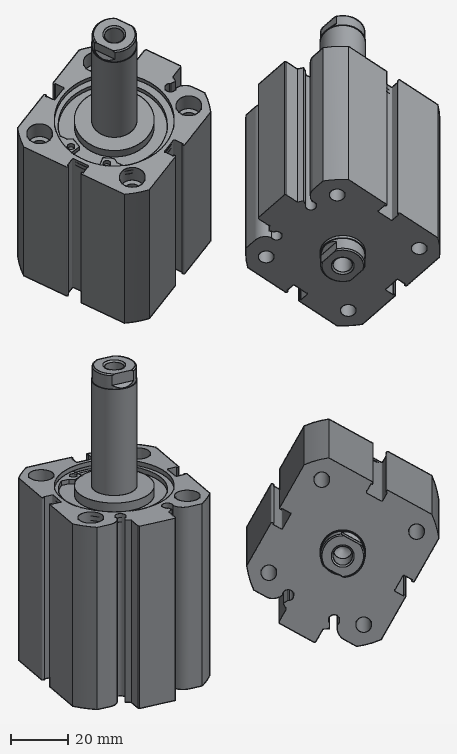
import cadquery as cq
import math


body_width = 54.0
body_height = 71.0
corner_turning_diameter = 68.0
rail_half_width = 7.4
rail_top = 33.0
rail_edge_chamfer = 0.4

shoulder_start_x = -15.4
shoulder_middle = (-12.2, 25.6)
shoulder_end = (-11.0, 23.5)
groove_bottom = (-9.5, 20.8)
groove_end = (-7.9, 24.1)
lip_root = (-8.4, 24.4)
lip_tip = (-9.2, 26.1)
lip_top_y = 27.4

mount_hole_spacing = 38.0
mount_hole_diameter = 5.5
counterbore_diameter = 9.0
counterbore_depth = 7.0

slot_width = 6.5
slot_mouth_width = 5.5
slot_depth = 4.5
slot_lip = 0.9
slot_edge_radius = 0.4

bore_diameter = 42.0
boss_diameter = 28.0
cover_flange_thickness = 12.5
ring_depth = 1.8
ring_thickness = 1.8
ring_outer_diameter = 44.5
ring_inner_radius = 19.1
ring_inner_offset = -1.0
ear_gap_corner = (4.8, -15.5)
ear_outline = [ear_gap_corner, (8.4, -13.8), (10.2, -14.9), (13.2, -14.9), (13.2, -16.9), (5.8, -19.4)]
gap_outer_corner = (6.8, -23.4)
ear_hole_diameter = 2.6
ear_hole_x = 7.4
ear_hole_y = -17.0

rod_length = 125.0
rod_diameter = 16.0
rod_bottom_projection = 7.0
neck_diameter = 15.5
neck_length = 5.8
flat_spacing = 13.0
tip_chamfer = 0.5
socket_diameter = 6.8
socket_mouth_diameter = 8.0
socket_depth = 12.5
drill_point_angle = 118.0

half_width = body_width / 2
corner_radius = corner_turning_diameter / 2
corner_start = math.sqrt(corner_radius**2 - half_width**2)
corner_middle = corner_radius * math.sqrt(0.5)
ring_top = body_height - ring_depth
ring_bottom = ring_top - ring_thickness
recess_floor = ring_bottom - cover_flange_thickness
rod_bottom = -rod_bottom_projection
rod_top = rod_bottom + rod_length
rod_radius = rod_diameter / 2


def cylinder(diameter, bottom, top):
    """Cylinder about the rod axis between two heights."""
    return cq.Workplane("XY").workplane(offset=bottom).circle(diameter / 2).extrude(top - bottom)


def housing_profile():
    """Left half of the housing section, closed along X = 0; the rail sits on the +Y side."""
    return (
        cq.Workplane("XY")
        .moveTo(0, -half_width)
        .lineTo(-corner_start, -half_width)
        .threePointArc((-corner_middle, -corner_middle), (-half_width, -corner_start))
        .lineTo(-half_width, corner_start)
        .threePointArc((-corner_middle, corner_middle), (-corner_start, half_width))
        .lineTo(shoulder_start_x, half_width)
        .threePointArc(shoulder_middle, shoulder_end)
        .threePointArc(groove_bottom, groove_end)
        .lineTo(*lip_root)
        .lineTo(*lip_tip)
        .lineTo(-rail_half_width, lip_top_y)
        .lineTo(-rail_half_width, rail_top - rail_edge_chamfer)
        .lineTo(-rail_half_width + rail_edge_chamfer, rail_top)
        .lineTo(0, rail_top)
        .close()
    )


def sensor_slot(angle):
    """Full-height slot with rounded lips at its mouth, in the -Y face before it is turned about Z."""
    chamber_depth = slot_depth - slot_lip
    chamber = (
        cq.Workplane("XY")
        .center(0, -half_width + slot_lip + chamber_depth / 2)
        .rect(slot_width, chamber_depth)
        .extrude(body_height)
        .edges("|Z and >Y").fillet(slot_edge_radius)
    )
    mouth = slot_mouth_width / 2
    flare = mouth + slot_edge_radius
    flare_middle = flare - slot_edge_radius * math.sqrt(0.5)
    round_middle = -half_width + slot_edge_radius * (1 - math.sqrt(0.5))
    round_end = -half_width + slot_edge_radius
    lip_end = -half_width + slot_lip
    mouth_opening = (
        cq.Workplane("XY")
        .moveTo(-flare, -half_width)
        .lineTo(flare, -half_width)
        .threePointArc((flare_middle, round_middle), (mouth, round_end))
        .lineTo(mouth, lip_end)
        .lineTo(-mouth, lip_end)
        .lineTo(-mouth, round_end)
        .threePointArc((-flare_middle, round_middle), (-flare, -half_width))
        .close()
        .extrude(body_height)
    )
    return chamber.union(mouth_opening).rotate((0, 0, 0), (0, 0, 1), angle)


def make_housing():
    left_half = housing_profile().extrude(body_height)
    housing = left_half.union(left_half.mirror("YZ"))
    for angle in (-90, 0, 90):
        housing = housing.cut(sensor_slot(angle))
    housing = (
        housing.faces(">Z").workplane(origin=(0, 0, body_height))
        .rect(mount_hole_spacing, mount_hole_spacing, forConstruction=True)
        .vertices()
        .cboreHole(mount_hole_diameter, counterbore_diameter, counterbore_depth)
    )
    housing = housing.cut(cylinder(bore_diameter, recess_floor, body_height))
    housing = housing.cut(cylinder(ring_outer_diameter, ring_bottom, ring_top))
    return housing.cut(cylinder(rod_diameter, 0, body_height))


def make_cover():
    """Flange held down by the ring, with a central boss flush with the housing."""
    flange = cylinder(bore_diameter, recess_floor, ring_bottom)
    boss = cylinder(boss_diameter, ring_bottom, body_height)
    return flange.union(boss).cut(cylinder(rod_diameter, recess_floor, body_height))


def make_retaining_ring():
    """Open ring with an eccentric inner edge and two drilled ears beside the gap."""
    blank = cylinder(ring_outer_diameter, ring_bottom, ring_top)
    sheet = cq.Workplane("XY").workplane(offset=ring_bottom)
    opening = sheet.center(0, ring_inner_offset).circle(ring_inner_radius).extrude(ring_thickness)
    ring = blank.cut(opening)
    for side in (-1, 1):
        ear = sheet.polyline([(side * x, y) for x, y in ear_outline]).close().extrude(ring_thickness)
        ear_hole = (
            sheet.center(side * ear_hole_x, ear_hole_y)
            .circle(ear_hole_diameter / 2)
            .extrude(ring_thickness)
        )
        ring = ring.union(ear).cut(ear_hole)
    right_edge = [ear_gap_corner, gap_outer_corner]
    left_edge = [(-x, y) for x, y in reversed(right_edge)]
    gap = sheet.polyline(right_edge + left_edge).close().extrude(ring_thickness)
    return ring.cut(gap)


def rod_end_cut(side):
    """Waste beside one wrench flat of the top end, sloping out at 45 degrees to the rod surface."""
    flat = flat_spacing / 2
    shoulder = rod_top - neck_length
    slope_top = shoulder + rod_radius - flat
    return (
        cq.Workplane("YZ")
        .moveTo(side * flat, rod_top)
        .lineTo(side * flat, slope_top)
        .lineTo(side * rod_radius, shoulder)
        .lineTo(side * rod_radius, rod_top)
        .close()
        .extrude(rod_radius, both=True)
    )


def rod_socket():
    """Chamfered blind hole with a drill point, opening at the top end of the rod."""
    socket_radius = socket_diameter / 2
    mouth_radius = socket_mouth_diameter / 2
    mouth_chamfer = mouth_radius - socket_radius
    point_length = socket_radius / math.tan(math.radians(drill_point_angle / 2))
    return (
        cq.Workplane("XZ")
        .moveTo(0, rod_top)
        .lineTo(mouth_radius, rod_top)
        .lineTo(socket_radius, rod_top - mouth_chamfer)
        .lineTo(socket_radius, rod_top - socket_depth)
        .lineTo(0, rod_top - socket_depth - point_length)
        .close()
        .revolve(360, (0, 0), (0, 1))
    )


def make_rod():
    """Upper half of the rod with its finished end, mirrored to give the lower half."""
    middle = rod_bottom + rod_length / 2
    shank = cylinder(rod_diameter, middle, rod_top - neck_length)
    neck = cylinder(neck_diameter, rod_top - neck_length, rod_top).faces(">Z").chamfer(tip_chamfer)
    half = shank.union(neck).cut(rod_socket())
    for side in (-1, 1):
        half = half.cut(rod_end_cut(side))
    return half.union(half.mirror("XY", (0, 0, middle)))


housing = make_housing()
cover = make_cover()
retaining_ring = make_retaining_ring()
rod = make_rod()

bodies = [housing, cover, retaining_ring, rod]
result = cq.Compound.makeCompound([body.solids().val() for body in bodies])